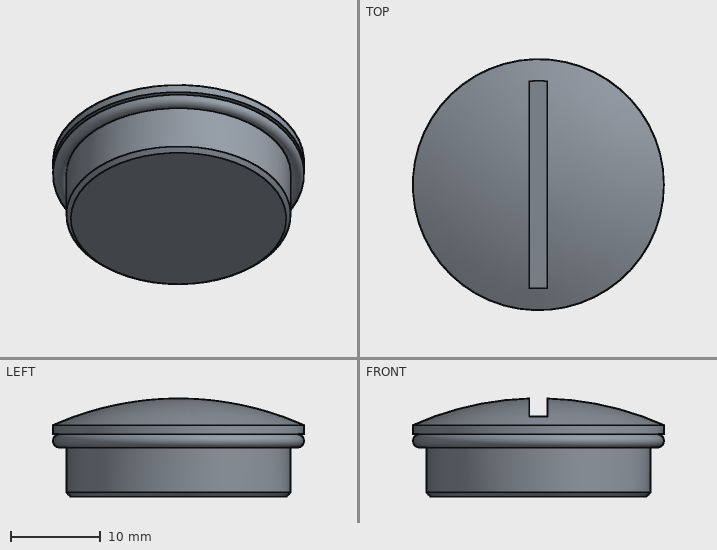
import cadquery as cq

head_radius = 14.0
total_height = 11.0
stem_radius = 12.502
stem_height = 7.0
stem_chamfer = 0.5
rim_height = 1.0
rim_top = stem_height + rim_height

slot_width = 2.0
slot_depth = 2.02

ring_section_radius = (head_radius - stem_radius) / 2
ring_center_radius = stem_radius + ring_section_radius
ring_center_height = stem_height - ring_section_radius

dome_height = total_height - rim_top
dome_radius = (head_radius**2 + dome_height**2) / (2 * dome_height)
dome_center_height = total_height - dome_radius


def make_plug():
    """Revolved stem and domed head, with the slot cut through the dome."""
    mid_radius = head_radius / 2
    mid_height = dome_center_height + (dome_radius**2 - mid_radius**2) ** 0.5
    body = (
        cq.Workplane("XZ")
        .lineTo(stem_radius - stem_chamfer, 0)
        .lineTo(stem_radius, stem_chamfer)
        .lineTo(stem_radius, stem_height)
        .lineTo(head_radius, stem_height)
        .lineTo(head_radius, rim_top)
        .threePointArc((mid_radius, mid_height), (0, total_height))
        .close()
        .revolve(360, (0, 0), (0, 1))
    )
    slot = (
        cq.Workplane("XY")
        .workplane(offset=total_height - slot_depth)
        .rect(slot_width, 2 * head_radius)
        .extrude(slot_depth)
    )
    return body.cut(slot)


def make_sealing_ring():
    """Round-section ring around the stem, resting against the head."""
    return (
        cq.Workplane("XZ")
        .center(ring_center_radius, ring_center_height)
        .circle(ring_section_radius)
        .revolve(360, (-ring_center_radius, 0), (-ring_center_radius, 1))
    )


plug = make_plug()
sealing_ring = make_sealing_ring()
result = cq.Compound.makeCompound([plug.val(), sealing_ring.val()])